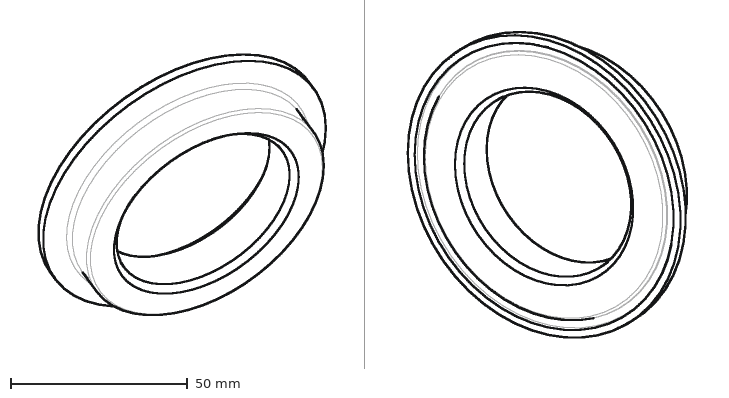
import math

import cadquery as cq

flange_diameter = 90.91
collar_diameter = 76.2
length = 15.88

rim_thickness = 2.85
cone_angle = math.radians(20)
neck_fillet = 1.6
end_round = 0.8

bore_diameter = 55.6
bore_chamfer = 1.9

groove_outer_diameter = 86.26
groove_center_diameter = 83.4
groove_radius = 1.2
groove_draft = math.radians(15)
lip_start_diameter = 79.2

flange_radius = flange_diameter / 2
collar_radius = collar_diameter / 2
bore_radius = bore_diameter / 2


def revolve_about_x(profile):
    """Turn a profile drawn as (x, radius) around the X axis."""
    return profile.close().revolve(360, (0, 0, 0), (1, 0, 0))


def make_body():
    cone_end = rim_thickness + (flange_radius - collar_radius) * math.tan(cone_angle)
    body = revolve_about_x(
        cq.Workplane("XY")
        .moveTo(bore_chamfer, bore_radius)
        .lineTo(0, bore_radius + bore_chamfer)
        .lineTo(0, flange_radius)
        .lineTo(rim_thickness, flange_radius)
        .lineTo(cone_end, collar_radius)
        .lineTo(length, collar_radius)
        .lineTo(length, bore_radius + bore_chamfer)
        .lineTo(length - bore_chamfer, bore_radius)
    )
    neck_edge = cq.selectors.NearestToPointSelector((cone_end, 0, 0))
    body = body.edges(neck_edge).fillet(neck_fillet)
    outer_edge = cq.selectors.RadiusNthSelector(-1)
    return body.faces(">X").edges(outer_edge).fillet(end_round)


def make_groove():
    """Round-bottomed groove with drafted walls; its inner wall rolls over into the face."""
    outer_edge = groove_outer_diameter / 2
    center = groove_center_diameter / 2
    lip_start = lip_start_diameter / 2
    sine = math.sin(groove_draft)
    cosine = math.cos(groove_draft)
    tangent = math.tan(groove_draft)

    half_width = outer_edge - center
    center_x = (half_width - groove_radius / cosine) / tangent
    wall_end_x = center_x + groove_radius * sine
    wall_end_offset = groove_radius * cosine

    lip_radius = (center - half_width - lip_start) / (1 / cosine - tangent)
    lip_end = (lip_radius * (1 - sine), lip_start + lip_radius * cosine)
    lip_half_angle = (math.pi / 2 - groove_draft) / 2
    lip_middle = (
        lip_radius * (1 - math.cos(lip_half_angle)),
        lip_start + lip_radius * math.sin(lip_half_angle),
    )
    return revolve_about_x(
        cq.Workplane("XY")
        .moveTo(0, outer_edge)
        .lineTo(wall_end_x, center + wall_end_offset)
        .threePointArc(
            (center_x + groove_radius, center),
            (wall_end_x, center - wall_end_offset),
        )
        .lineTo(*lip_end)
        .threePointArc(lip_middle, (0, lip_start))
    )


result = make_body().cut(make_groove())